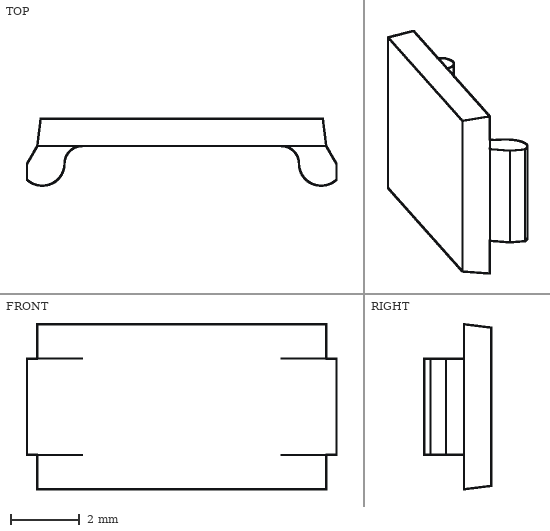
import cadquery as cq
import math

plate_width = 8.4
plate_height = 4.8
plate_thickness = 0.8
edge_draft = 0.1

leg_height = 2.8
leg_depth = 1.15
outer_half_span = 4.5
flank_angle = 30
bead_radius = 0.65
bead_x = 4.05

bead_y = bead_radius - leg_depth
bead_inner_x = bead_x - bead_radius
blend_radius = -bead_y
shoulder_depth = (outer_half_span - plate_width / 2) / math.tan(math.radians(flank_angle))
flat_end_y = bead_y - math.sqrt(bead_radius**2 - (outer_half_span - bead_x) ** 2)


def make_plate():
    """Slab from the full front face at Y = 0 to the smaller back face at +Y."""
    front = cq.Workplane("XZ").rect(plate_width, plate_height)
    back = front.workplane(offset=-plate_thickness)
    back = back.rect(plate_width - 2 * edge_draft, plate_height - 2 * edge_draft)
    return back.loft(ruled=True)


def make_leg():
    """Leg on the +X side, extruded along Z and centred on Z = 0."""
    blend_x = bead_inner_x - blend_radius
    blend_y = -blend_radius
    blend_mid_step = blend_radius * math.sqrt(0.5)
    return (
        cq.Workplane("XY")
        .moveTo(plate_width / 2, 0)
        .lineTo(outer_half_span, -shoulder_depth)
        .lineTo(outer_half_span, flat_end_y)
        .threePointArc((bead_x, -leg_depth), (bead_inner_x, bead_y))
        .threePointArc(
            (blend_x + blend_mid_step, blend_y + blend_mid_step),
            (blend_x, 0),
        )
        .close()
        .extrude(leg_height / 2, both=True)
    )


right_leg = make_leg()
left_leg = right_leg.mirror("YZ")
result = make_plate().union(right_leg).union(left_leg)